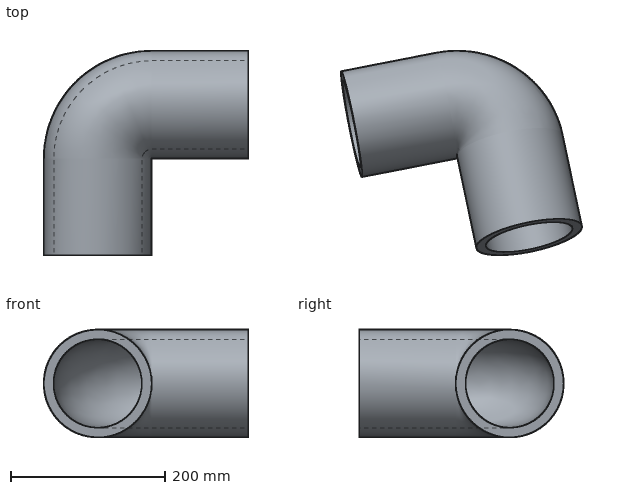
import cadquery as cq

overall_length = 265.0
outer_diameter = 140.0
wall = 12.7

outer_radius = outer_diameter / 2
inner_radius = outer_radius - wall
bend_radius = outer_radius
leg_length = overall_length - bend_radius - outer_radius
bend_angle = 90


def elbow(pipe_radius):
    """Solid 90 degree elbow with straight legs, its bend centred on the origin."""
    leg_y = cq.Workplane("XZ").center(-bend_radius, 0).circle(pipe_radius).extrude(leg_length)
    leg_x = cq.Workplane("YZ").center(bend_radius, 0).circle(pipe_radius).extrude(leg_length)
    bend = (
        cq.Workplane("XZ")
        .center(-bend_radius, 0)
        .circle(pipe_radius)
        .revolve(bend_angle, (bend_radius, 2.6, 0), (bend_radius, 0, 0))
    )
    return bend.union(leg_y).union(leg_x)


result = elbow(outer_radius).cut(elbow(inner_radius))